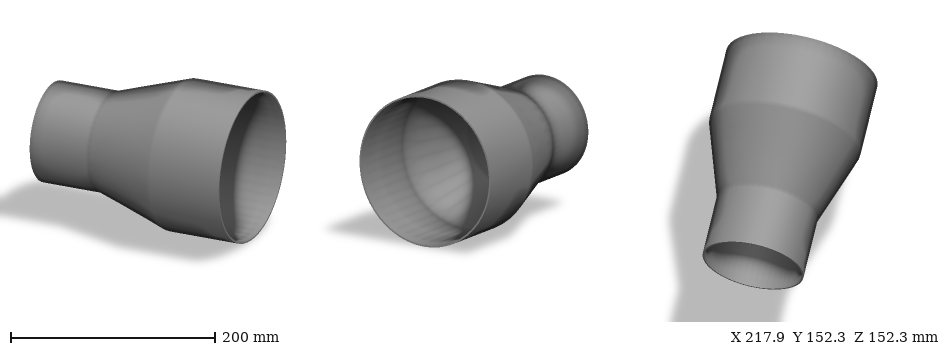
import cadquery as cq
import math

total_length = 217.9
small_diameter = 101.5
large_diameter = 152.3
wall = 1.63

small_pipe_end = 61.7
large_pipe_start = 143.8
bend_radius = 13.0

small_mid_radius = (small_diameter - wall) / 2
large_mid_radius = (large_diameter - wall) / 2
small_center = (small_pipe_end, small_mid_radius + bend_radius)
large_center = (large_pipe_start, large_mid_radius - bend_radius)

center_dx = large_center[0] - small_center[0]
center_dr = large_center[1] - small_center[1]
center_span = math.hypot(center_dx, center_dr)
cone_angle = math.atan2(center_dr, center_dx) + math.asin(2 * bend_radius / center_span)


def bend_point(center, radius, angle):
    """Point on a bend arc where the wall slopes at the given angle.

    A positive radius lies on the outward side of the center, a negative one on the axis side.
    """
    return (
        center[0] - radius * math.sin(angle),
        center[1] + radius * math.cos(angle),
    )


def reducer_body(offset):
    """Solid of revolution whose surface is the mid-wall surface moved outward by offset."""
    small_bend = offset - bend_radius
    large_bend = offset + bend_radius
    profile = (
        cq.Workplane("XY")
        .moveTo(0, 0)
        .lineTo(0, small_mid_radius + offset)
        .lineTo(*bend_point(small_center, small_bend, 0))
        .threePointArc(
            bend_point(small_center, small_bend, cone_angle / 2),
            bend_point(small_center, small_bend, cone_angle),
        )
        .lineTo(*bend_point(large_center, large_bend, cone_angle))
        .threePointArc(
            bend_point(large_center, large_bend, cone_angle / 2),
            bend_point(large_center, large_bend, 0),
        )
        .lineTo(total_length, large_mid_radius + offset)
        .lineTo(total_length, 0)
        .close()
    )
    return profile.revolve(360, (0, 0, 0), (1, 0, 0))


shell = reducer_body(wall / 2).cut(reducer_body(-wall / 2))
result = shell.translate((-total_length / 2, 0, 0))